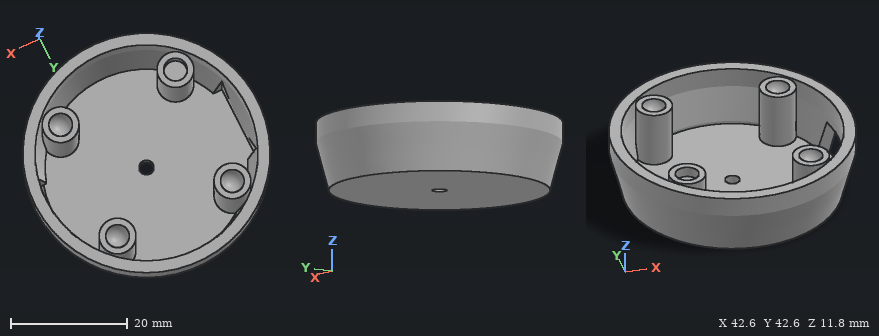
import cadquery as cq
import math

HEIGHT = 11.82
RIM_DIAMETER = 42.62
BASE_DIAMETER = 38.2
BORE_DIAMETER = 38.4
RIM_HEIGHT = 3.56
RIM_BOTTOM_Z = HEIGHT - RIM_HEIGHT

CAVITY_DEPTH = 10.16
FLOOR_Z = HEIGHT - CAVITY_DEPTH
FLOOR_DIAMETER = 34.93
FLOOR_WALL_HEIGHT = 0.54
TAPER_FOOT_Z = FLOOR_Z + FLOOR_WALL_HEIGHT
CENTER_HOLE_DIAMETER = 2.54

POST_DIAMETER = 6.35
POST_OFFSET = 11.04
POST_HOLE_DIAMETER = 4.06
FLAT_HOLE_DEPTH = 1.9
BOWL_TIP_DIAMETER = 0.5
FLAT_POST = (-POST_OFFSET, -POST_OFFSET)
BOWL_POSTS = [
    (POST_OFFSET, POST_OFFSET),
    (POST_OFFSET, -POST_OFFSET),
    (-POST_OFFSET, POST_OFFSET),
]

POCKET_WIDTH = 13.25
POCKET_FACE_X = -17.78

WINDOW_WIDTH = 10.16
WINDOW_TOP_Z = 7.12
SILL_INNER_DIAMETER = 36.0
SILL_OUTER_Z = 1.0


def revolve_profile(outline):
    """Turn a closed (radius, z) outline about the Z axis."""
    return outline.close().revolve(360, (0, 0, 0), (0, 1, 0))


def make_cup():
    """Cup with a straight rim above a tapered wall."""
    rim_radius = RIM_DIAMETER / 2
    bore_radius = BORE_DIAMETER / 2
    floor_radius = FLOOR_DIAMETER / 2
    outline = cq.Workplane("XZ").polyline([
        (0, 0),
        (BASE_DIAMETER / 2, 0),
        (rim_radius, RIM_BOTTOM_Z),
        (rim_radius, HEIGHT),
        (bore_radius, HEIGHT),
        (bore_radius, RIM_BOTTOM_Z),
        (floor_radius, TAPER_FOOT_Z),
        (floor_radius, FLOOR_Z),
        (0, FLOOR_Z),
    ])
    return revolve_profile(outline)


def make_pocket():
    """Block that squares off the inside of the -X wall, from the floor up."""
    return cq.Workplane("XY", origin=(POCKET_FACE_X, 0, FLOOR_Z)).box(
        -POCKET_FACE_X, POCKET_WIDTH, CAVITY_DEPTH, centered=(False, True, False)
    )


def make_window():
    """Disc with a sloped lower edge, limited to the window width on the +X side."""
    sill_radius = SILL_INNER_DIAMETER / 2
    outer_radius = RIM_DIAMETER / 2
    sill_slope = (FLOOR_Z - SILL_OUTER_Z) / (BASE_DIAMETER / 2 - sill_radius)
    edge_z = FLOOR_Z - sill_slope * (outer_radius - sill_radius)
    outline = cq.Workplane("XZ").polyline([
        (0, FLOOR_Z),
        (sill_radius, FLOOR_Z),
        (outer_radius, edge_z),
        (outer_radius, WINDOW_TOP_Z),
        (0, WINDOW_TOP_Z),
    ])
    opening = cq.Workplane("XY").box(
        outer_radius, WINDOW_WIDTH, 2 * HEIGHT, centered=(False, True, True)
    )
    return revolve_profile(outline).intersect(opening)


def make_posts():
    """Four posts standing on the floor, flush with the rim."""
    return (
        cq.Workplane("XY", origin=(0, 0, FLOOR_Z))
        .pushPoints(BOWL_POSTS + [FLAT_POST])
        .circle(POST_DIAMETER / 2)
        .extrude(CAVITY_DEPTH)
    )


def make_center_hole():
    """Hole through the floor on the cup axis."""
    return cq.Workplane("XY").circle(CENTER_HOLE_DIAMETER / 2).extrude(FLOOR_Z)


def make_flat_hole():
    """Flat-bottomed hole in one post."""
    return (
        cq.Workplane("XY", origin=(*FLAT_POST, HEIGHT))
        .circle(POST_HOLE_DIAMETER / 2)
        .extrude(-FLAT_HOLE_DEPTH)
    )


def make_bowl_hole(x, y):
    """Hemispherical hole with a small flat at its lowest point."""
    radius = POST_HOLE_DIAMETER / 2
    tip_radius = BOWL_TIP_DIAMETER / 2
    depth = math.sqrt(radius**2 - tip_radius**2)
    mid = radius * math.sqrt(0.5)
    outline = (
        cq.Workplane("XZ", origin=(x, y, HEIGHT))
        .lineTo(radius, 0)
        .threePointArc((mid, -mid), (tip_radius, -depth))
        .lineTo(0, -depth)
    )
    return revolve_profile(outline)


result = make_cup().cut(make_pocket()).cut(make_window()).union(make_posts())
result = result.cut(make_center_hole()).cut(make_flat_hole())
for post_x, post_y in BOWL_POSTS:
    result = result.cut(make_bowl_hole(post_x, post_y))